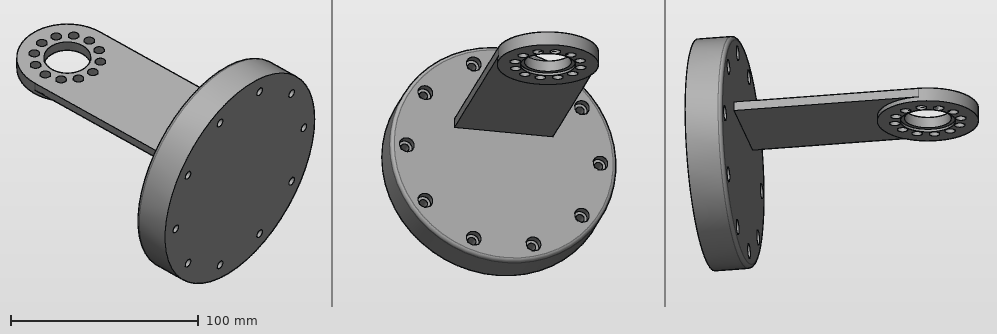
import cadquery as cq
import math

overall_length = 147.0

flange_diameter = 124.0
flange_thickness = 20.0
flange_edge_radius = 2.0

bolt_count = 10
bolt_circle_radius = 53.0
bolt_hole_diameter = 4.5
counterbore_diameter = 8.0
counterbore_depth = 4.5

arm_width = 54.0
arm_thickness = 5.0
arm_top_height = 17.6
pad_thickness = 7.5

center_hole_diameter = 25.0
recess_diameter = 29.4
recess_depth = 1.5
small_hole_count = 12
small_hole_diameter = 5.6
small_hole_circle_radius = 18.0
small_hole_start_angle = -0.7

pad_radius = arm_width / 2
pad_center_x = flange_thickness - overall_length + pad_radius


def ring_points(count, radius, start_angle=0.0):
    """Evenly spaced points on a circle about the workplane origin."""
    angles = [math.radians(start_angle + i * 360 / count) for i in range(count)]
    return [(radius * math.cos(angle), radius * math.sin(angle)) for angle in angles]


def make_flange():
    """Round flange with a rounded rim on the arm side."""
    disc = cq.Workplane("YZ").circle(flange_diameter / 2).extrude(flange_thickness)
    return disc.faces("<X").edges().fillet(flange_edge_radius)


def make_bolt_holes():
    """Cutters for the through holes, counterbored from the arm side."""
    points = ring_points(bolt_count, bolt_circle_radius)
    face = cq.Workplane("YZ").pushPoints(points)
    through_holes = face.circle(bolt_hole_diameter / 2).extrude(flange_thickness)
    counterbores = face.circle(counterbore_diameter / 2).extrude(counterbore_depth)
    return through_holes.union(counterbores)


def make_arm():
    """Flat arm ending in a thicker round pad."""
    arm_length = -pad_center_x
    top_plane = cq.Workplane("XY", origin=(pad_center_x, 0, arm_top_height))
    plate = top_plane.rect(arm_length, arm_width, centered=(False, True)).extrude(-arm_thickness)
    pad = top_plane.circle(pad_radius).extrude(-pad_thickness)
    return plate.union(pad)


def make_pad_holes():
    """Cutters for the central hole, its recess underneath and the ring of small holes."""
    top_plane = cq.Workplane("XY", origin=(pad_center_x, 0, arm_top_height))
    points = ring_points(small_hole_count, small_hole_circle_radius, small_hole_start_angle)
    center_hole = top_plane.circle(center_hole_diameter / 2).extrude(-pad_thickness)
    recess_plane = top_plane.workplane(offset=-pad_thickness)
    recess = recess_plane.circle(recess_diameter / 2).extrude(recess_depth)
    small_holes = top_plane.pushPoints(points).circle(small_hole_diameter / 2).extrude(-pad_thickness)
    return center_hole.union(recess).union(small_holes)


flange = make_flange().cut(make_bolt_holes())
arm = make_arm().cut(make_pad_holes())
result = flange.union(arm)